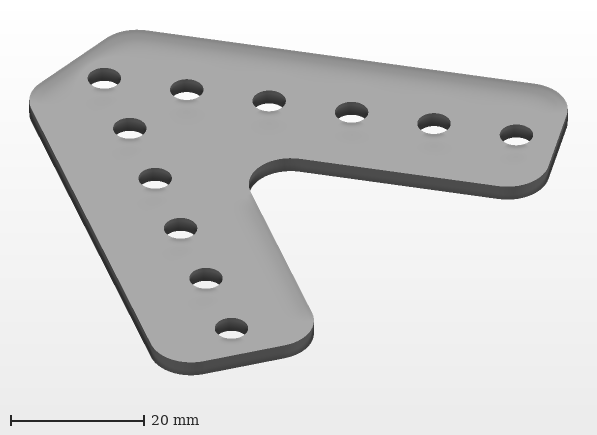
import cadquery as cq
import math

length = 79.7
thickness = 2.5
corner_radius = 6.3
hole_diameter = 5.0
leg_angle = 60.0
holes_per_leg = 6

ends_in_pitches = holes_per_leg - 0.5
bend_in_pitches = math.sin(math.radians(leg_angle))

rounding_loss = corner_radius * (1 / math.cos(math.radians(leg_angle / 2)) - 1)
pitch = (length + rounding_loss) / (ends_in_pitches + bend_in_pitches)
half_width = pitch
leg_reach = ends_in_pitches * pitch


def on_sloped_leg(along, left):
    """Point at a distance along the sloped leg's axis and to the left of it."""
    angle = math.radians(leg_angle)
    return (
        along * math.cos(angle) - left * math.sin(angle),
        along * math.sin(angle) + left * math.cos(angle),
    )


inner_corner_x = half_width / math.tan(math.radians(leg_angle / 2))
outline = [
    (0, -half_width),
    (leg_reach, -half_width),
    (leg_reach, half_width),
    (inner_corner_x, half_width),
    on_sloped_leg(leg_reach, -half_width),
    on_sloped_leg(leg_reach, half_width),
    on_sloped_leg(0, half_width),
]
plate = cq.Workplane("XY").polyline(outline).close().extrude(thickness)
plate = plate.edges("|Z").fillet(corner_radius)

hole_centers = [(i * pitch, 0) for i in range(holes_per_leg)]
hole_centers += [on_sloped_leg(i * pitch, 0) for i in range(1, holes_per_leg)]
holes = cq.Workplane("XY").pushPoints(hole_centers).circle(hole_diameter / 2).extrude(thickness)

result = plate.cut(holes)